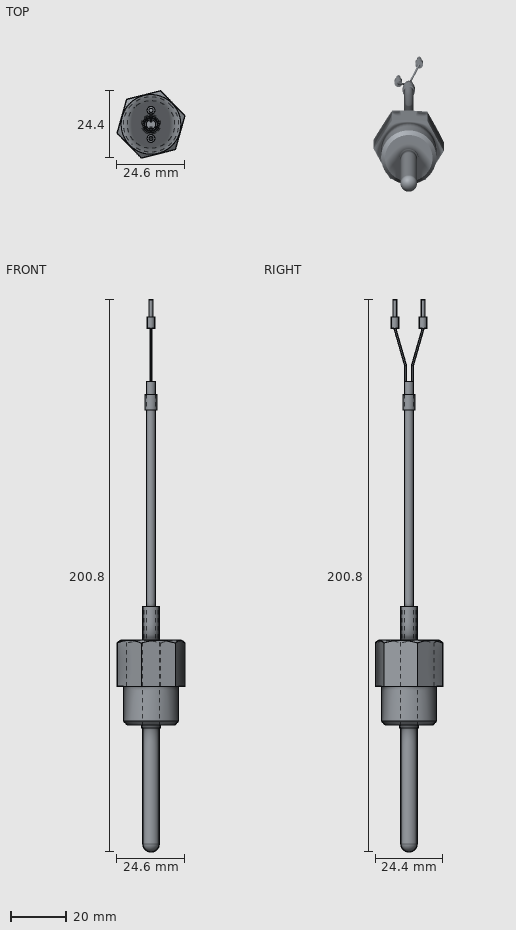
import cadquery as cq
import math

TOTAL_HEIGHT = 200.8

HEX_ACROSS_FLATS = 22.0
HEX_CORNER_ANGLE = 14.2
HEX_TOP_DIAMETER = 21.7
HEX_CHAMFER_ANGLE = 30.0
HEX_BOTTOM = 60.2
HEX_TOP = 77.0
SHANK_DIAMETER = 20.0
SHANK_BOTTOM = 46.2
SHANK_CHAMFER = 1.5
COLLAR_DIAMETER = 7.0
COLLAR_BOTTOM = 45.2

PROBE_DIAMETER = 6.0
PROBE_TOP = 89.3
PROBE_BORE_DIAMETER = 5.0

CABLE_DIAMETER = 3.5
CABLE_TOP = 171.0
CABLE_BOTTOM = HEX_TOP
SLEEVE_DIAMETER = 4.5
SLEEVE_BOTTOM = 160.6
SLEEVE_TOP = 166.2

WIRE_DIAMETER = 0.7
WIRE_OFFSET = 1.2
WIRE_BEND_HEIGHT = 176.7
FERRULE_OFFSET = 5.12
FERRULE_DIAMETER = 2.8
FERRULE_BOTTOM = 190.3
FERRULE_TOP = 194.5
PIN_DIAMETER = 1.5
WIRE_OVERLAP = 1.0


def cylinder(diameter, bottom, top):
    """Upright cylinder on the Z axis."""
    return cq.Workplane("XY").workplane(offset=bottom).circle(diameter / 2).extrude(top - bottom)


def make_hex_head():
    """Hexagonal head with its upper corners turned off by a cone."""
    corner_radius = HEX_ACROSS_FLATS / 2 / math.cos(math.radians(30))
    head = (
        cq.Workplane("XY")
        .workplane(offset=HEX_BOTTOM)
        .polygon(6, 2 * corner_radius)
        .extrude(HEX_TOP - HEX_BOTTOM)
        .rotate((0, 0, 0), (0, 0, 1), HEX_CORNER_ANGLE)
    )
    top_radius = HEX_TOP_DIAMETER / 2
    chamfer_drop = (corner_radius - top_radius) * math.tan(math.radians(HEX_CHAMFER_ANGLE))
    turned_envelope = (
        cq.Workplane("XZ")
        .moveTo(0, HEX_BOTTOM)
        .lineTo(corner_radius, HEX_BOTTOM)
        .lineTo(corner_radius, HEX_TOP - chamfer_drop)
        .lineTo(top_radius, HEX_TOP)
        .lineTo(0, HEX_TOP)
        .close()
        .revolve(360, (0, 0, 0), (0, 1, 0))
    )
    return head.intersect(turned_envelope)


def make_fitting():
    """Hex head, plain shank and small bottom collar, bored for the probe."""
    shank = cylinder(SHANK_DIAMETER, SHANK_BOTTOM, HEX_BOTTOM).faces("<Z").chamfer(SHANK_CHAMFER)
    collar = cylinder(COLLAR_DIAMETER, COLLAR_BOTTOM, SHANK_BOTTOM)
    bore = cylinder(PROBE_DIAMETER, COLLAR_BOTTOM, HEX_TOP)
    return make_hex_head().union(shank).union(collar).cut(bore)


def make_probe():
    """Round-tipped probe with a blind bore in its top around the cable."""
    radius = PROBE_DIAMETER / 2
    tip = cq.Workplane("XY").sphere(radius).translate((0, 0, radius))
    body = cylinder(PROBE_DIAMETER, radius, PROBE_TOP).union(tip)
    return body.cut(cylinder(PROBE_BORE_DIAMETER, CABLE_BOTTOM, PROBE_TOP))


def make_cable():
    return cylinder(CABLE_DIAMETER, CABLE_BOTTOM, CABLE_TOP)


def make_sleeve():
    cable_hole = cylinder(CABLE_DIAMETER, SLEEVE_BOTTOM, SLEEVE_TOP)
    return cylinder(SLEEVE_DIAMETER, SLEEVE_BOTTOM, SLEEVE_TOP).cut(cable_hole)


def make_lead(side):
    """Wire, ferrule and pin as one solid; side is +1 or -1 along Y."""
    start_y = side * WIRE_OFFSET
    end_y = side * FERRULE_OFFSET
    path = (
        cq.Workplane("YZ")
        .moveTo(start_y, CABLE_TOP)
        .lineTo(start_y, WIRE_BEND_HEIGHT)
        .lineTo(end_y, FERRULE_BOTTOM)
        .lineTo(end_y, FERRULE_BOTTOM + WIRE_OVERLAP)
    )
    wire = (
        cq.Workplane("XY", origin=(0, start_y, CABLE_TOP))
        .circle(WIRE_DIAMETER / 2)
        .sweep(path, transition="right")
    )
    ferrule = cylinder(FERRULE_DIAMETER, FERRULE_BOTTOM, FERRULE_TOP)
    pin = cylinder(PIN_DIAMETER, FERRULE_TOP, TOTAL_HEIGHT)
    return wire.union(ferrule.union(pin).translate((0, end_y, 0)))


fitting = make_fitting()
probe = make_probe()
cable = make_cable()
sleeve = make_sleeve()
leads = [make_lead(side).val() for side in (-1, 1)]

result = cq.Compound.makeCompound([fitting.val(), probe.val(), cable.val(), sleeve.val(), *leads])